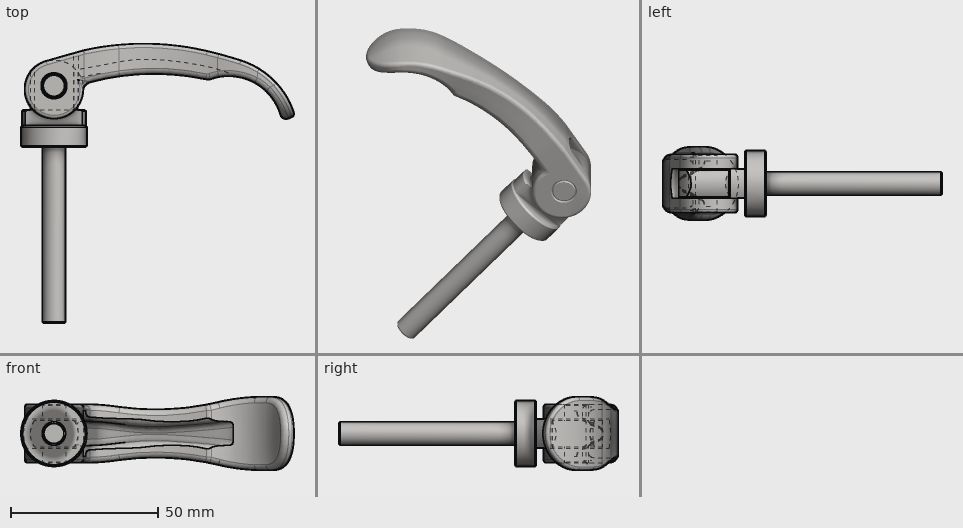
import cadquery as cq
import math


WASHER_RADIUS = 11.25
WASHER_TOP = -13.5
WASHER_THICKNESS = 7.4
WASHER_CHAMFER = 0.6
BLOCK_RADIUS = 10.9
BLOCK_TOP = -8.2
BLOCK_CHAMFER = 0.5
ROD_RADIUS = 4.0
ROD_END = -80.74
ROD_CHAMFER = 0.6
EYE_RADIUS = 8.1
EYE_HALF_THICKNESS = 4.5
PIN_RADIUS = 4.0
PIN_CHAMFER = 0.4

CAM_RADIUS = 10.0
CAM_OFFSET = 1.2
HUB_HALF_WIDTH = 10.0
SLOT_HALF_WIDTH = 5.0
SLOT_CLEARANCE = 0.1
BLOCK_CLEARANCE = 0.3
PIN_HOLE_CHAMFER = 0.4

BACK_START = (10.2, 12.1)
BACK_PEAK = (31.2, 14.34)
BACK_END = (52.2, 11.8)
BACK_BEND = (63.5, 8.65)
BACK_TIP = (82.55, -13.0)
PADDLE_TIP = (77.55, -13.0)
PADDLE_MID = (69.5, 0.2)
GRIP_END = (52.6, 1.95)
CREST_RADIUS = 3.0
GRIP_MID = (32.4, 4.0)
GRIP_START = (8.0, -0.1)

WAIST_START = (22.0, 9.1)
WAIST_MID = (34.5, 8.2)
WAIST_END = (55.5, 10.65)
PADDLE_HALF_WIDTH = 12.5
PADDLE_WIDEST_X = 69.0
TIP_ANGLE = 65.0
TIP_CENTER = (74.3, 0.1)
OUTLINE_REACH = 90.0

CHANNEL_STATIONS = [
    (8.0, -0.3, 7.8, 5.6),
    (22.0, 2.8, 6.9, 8.2),
    (34.5, 3.7, 6.0, 9.0),
    (52.0, 1.8, 7.1, 6.6),
    (61.0, 1.8, 7.9, 2.5),
]
LIP_ROUND_WIDTH = 3.6
LIP_ROUND_SHARE = 0.53
FLOOR_ROUND_WIDTH = 2.2
CHANNEL_MOUTH = 6.0

BACK_FILLET = 1.25
UNDERSIDE_FILLET = 2.0
THROAT_FILLET = 3.0
EDGE_MATCH = 0.5


def cylinder_along_y(radius, y_low, y_high):
    return cq.Workplane("XZ", origin=(0, y_high, 0)).circle(radius).extrude(y_high - y_low)


def slab(half_thickness):
    span = 4 * OUTLINE_REACH
    return cq.Workplane("XY").box(span, span, 2 * half_thickness)


def make_stud():
    washer = cylinder_along_y(WASHER_RADIUS, WASHER_TOP - WASHER_THICKNESS, WASHER_TOP)
    washer = washer.edges().chamfer(WASHER_CHAMFER)
    block = cylinder_along_y(BLOCK_RADIUS, WASHER_TOP, BLOCK_TOP)
    block = block.faces(">Y").edges().chamfer(BLOCK_CHAMFER).intersect(slab(SLOT_HALF_WIDTH))
    rod = cylinder_along_y(ROD_RADIUS, ROD_END, WASHER_TOP)
    rod = rod.faces("<Y").edges().chamfer(ROD_CHAMFER)
    eye_end = (
        cq.Workplane("XY", origin=(0, -CAM_OFFSET, -EYE_HALF_THICKNESS))
        .circle(CAM_RADIUS)
        .extrude(2 * EYE_HALF_THICKNESS)
    )
    eye = cylinder_along_y(EYE_RADIUS, -CAM_OFFSET, CAM_RADIUS).intersect(eye_end)
    neck = cylinder_along_y(EYE_RADIUS, WASHER_TOP, -CAM_OFFSET).intersect(slab(EYE_HALF_THICKNESS))
    pin = (
        cq.Workplane("XY", origin=(0, 0, -HUB_HALF_WIDTH))
        .circle(PIN_RADIUS)
        .extrude(2 * HUB_HALF_WIDTH)
        .edges()
        .chamfer(PIN_CHAMFER)
    )
    return washer.union(block).union(rod).union(eye).union(neck).union(pin)


def tangent_point():
    dx = BACK_START[0]
    dy = BACK_START[1] + CAM_OFFSET
    angle = math.atan2(dy, dx) + math.acos(CAM_RADIUS / math.hypot(dx, dy))
    return (CAM_RADIUS * math.cos(angle), CAM_RADIUS * math.sin(angle) - CAM_OFFSET)


def draw_back(start):
    return (
        start.lineTo(*BACK_START)
        .threePointArc(BACK_PEAK, BACK_END)
        .tangentArcPoint(BACK_BEND, relative=False)
        .tangentArcPoint(BACK_TIP, relative=False)
    )


def draw_underside(start):
    return start.threePointArc(PADDLE_MID, GRIP_END).threePointArc(GRIP_MID, GRIP_START)


def make_side_prism():
    start = cq.Workplane("XY").moveTo(*tangent_point())
    outline = draw_underside(draw_back(start).lineTo(*PADDLE_TIP))
    prism = outline.lineTo(0, -CAM_OFFSET).close().extrude(2 * CAM_RADIUS, both=True)
    crest = cq.selectors.NearestToPointSelector((*GRIP_END, 0))
    return prism.edges("|Z").edges(crest).fillet(CREST_RADIUS)


def make_width_prism():
    half = (
        cq.Workplane("XZ", origin=(0, 2 * CAM_RADIUS, 0))
        .moveTo(-2 * CAM_RADIUS, 0)
        .lineTo(-2 * CAM_RADIUS, HUB_HALF_WIDTH)
        .lineTo(BACK_START[0], HUB_HALF_WIDTH)
        .tangentArcPoint(WAIST_START, relative=False)
        .threePointArc(WAIST_MID, WAIST_END)
        .tangentArcPoint((PADDLE_WIDEST_X, PADDLE_HALF_WIDTH), relative=False)
        .lineTo(OUTLINE_REACH, PADDLE_HALF_WIDTH)
        .lineTo(OUTLINE_REACH, 0)
        .close()
        .extrude(4 * CAM_RADIUS)
    )
    return half.union(half.mirror("XY"))


def make_tip_cutter():
    size = 3 * PADDLE_HALF_WIDTH
    block = cq.Workplane("XY").box(size, 2 * size, size).translate((size / 2, 0, 0))
    cutter = block.cut(cylinder_along_y(PADDLE_HALF_WIDTH, -size, size))
    return cutter.rotate((0, 0, 0), (0, 0, 1), -TIP_ANGLE).translate((*TIP_CENTER, 0))


def edges_along(solid, line):
    def follows(edge):
        middle = edge.positionAt(0.5)
        direction = edge.tangentAt(0.5)
        is_seam = edge.geomType() == "LINE" and abs(direction.z) > math.hypot(direction.x, direction.y)
        on_line = line.distance(cq.Vertex.makeVertex(middle.x, middle.y, 0)) < EDGE_MATCH
        return on_line and not is_seam

    return solid.edges().filter(follows)


def make_handle():
    handle = make_side_prism().intersect(make_width_prism()).cut(make_tip_cutter())
    back = draw_back(cq.Workplane("XY").moveTo(*tangent_point())).wire().val()
    underside = draw_underside(cq.Workplane("XY").moveTo(*PADDLE_TIP)).wire().val()
    handle = edges_along(handle, back).fillet(BACK_FILLET)
    return edges_along(handle, underside).fillet(UNDERSIDE_FILLET)


def make_hub():
    return (
        cq.Workplane("XY", origin=(0, -CAM_OFFSET, -HUB_HALF_WIDTH))
        .circle(CAM_RADIUS)
        .extrude(2 * HUB_HALF_WIDTH)
        .edges()
        .fillet(BACK_FILLET)
    )


def make_channel():
    bend = math.sqrt(0.5)
    cutter = cq.Workplane("YZ")
    last_x = 0
    for x, lip, lip_half, floor in CHANNEL_STATIONS:
        shoulder_half = lip_half - LIP_ROUND_WIDTH
        floor_half = shoulder_half - FLOOR_ROUND_WIDTH
        lip_height = LIP_ROUND_SHARE * (floor - lip)
        shoulder = lip + lip_height
        lip_mid = (lip + lip_height * (1 - bend), shoulder_half + LIP_ROUND_WIDTH * (1 - bend))
        floor_mid = (
            shoulder + (floor - shoulder) * bend,
            floor_half + FLOOR_ROUND_WIDTH * bend,
        )
        mouth = lip - CHANNEL_MOUTH
        cutter = (
            cutter.workplane(offset=x - last_x)
            .moveTo(floor, -floor_half)
            .lineTo(floor, floor_half)
            .threePointArc(floor_mid, (shoulder, shoulder_half))
            .threePointArc(lip_mid, (lip, lip_half))
            .lineTo(mouth, lip_half)
            .lineTo(mouth, -lip_half)
            .lineTo(lip, -lip_half)
            .threePointArc((lip_mid[0], -lip_mid[1]), (shoulder, -shoulder_half))
            .threePointArc((floor_mid[0], -floor_mid[1]), (floor, -floor_half))
            .close()
        )
        last_x = x
    return cutter.loft(combine=True)


def make_slot():
    reach = 2 * CAM_RADIUS
    radius = EYE_RADIUS + SLOT_CLEARANCE
    swing = cq.Workplane("XY").box(reach, 2 * reach, reach).translate((-reach / 2, 0, 0))
    washer_side = cq.Workplane("XY").box(2 * reach, reach, reach)
    washer_side = washer_side.translate((0, BLOCK_TOP + BLOCK_CLEARANCE - reach / 2, 0))
    pocket = cylinder_along_y(radius, -reach, reach).union(swing).union(washer_side)
    return pocket.intersect(slab(SLOT_HALF_WIDTH))


def make_pin_hole():
    hole = cq.Workplane("XY").circle(PIN_RADIUS).extrude(HUB_HALF_WIDTH, both=True)
    rim = (
        cq.Workplane("XY", origin=(0, 0, HUB_HALF_WIDTH))
        .circle(PIN_RADIUS + PIN_HOLE_CHAMFER)
        .workplane(offset=-PIN_HOLE_CHAMFER)
        .circle(PIN_RADIUS)
        .loft(combine=True)
    )
    return hole.union(rim).union(rim.mirror("XY"))


def make_lever():
    hub = make_hub()
    lever = make_handle().union(hub)
    throat = cq.selectors.NearestToPointSelector((CAM_RADIUS, 0, 0))
    lever = lever.edges(throat).fillet(THROAT_FILLET)
    lever = lever.cut(make_channel().cut(hub))
    lever = lever.cut(make_slot())
    return lever.cut(make_pin_hole())


lever = make_lever()
stud = make_stud()
result = cq.Compound.makeCompound([lever.val(), stud.val()])